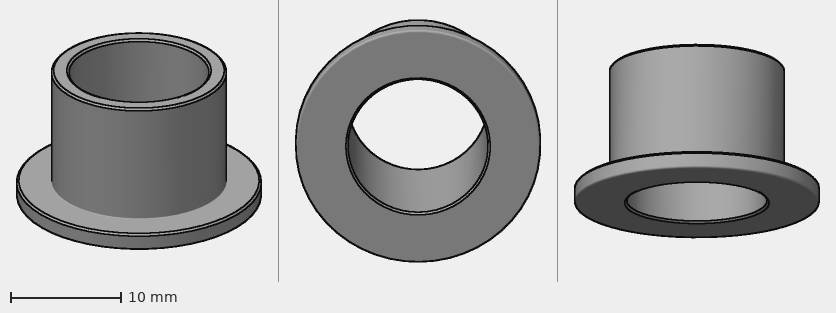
import cadquery as cq

flange_diameter = 22.23
body_diameter = 15.9
bore_diameter = 12.72
total_height = 12.7
flange_thickness = 1.58
edge_break = 0.2
root_radius = 0.1

flange_radius = flange_diameter / 2
body_radius = body_diameter / 2
bore_radius = bore_diameter / 2


def sleeve_profile():
    """Half section of the flanged sleeve, with radius along X and height along Y."""
    arc_inset = 1 - 0.5**0.5
    root_inset = root_radius * arc_inset
    rim_inset = edge_break * arc_inset
    return (
        cq.Workplane("XZ")
        .moveTo(bore_radius + edge_break, 0)
        .lineTo(flange_radius - edge_break, 0)
        .threePointArc((flange_radius - rim_inset, rim_inset), (flange_radius, edge_break))
        .lineTo(flange_radius, flange_thickness - edge_break)
        .lineTo(flange_radius - edge_break, flange_thickness)
        .lineTo(body_radius + root_radius, flange_thickness)
        .threePointArc(
            (body_radius + root_inset, flange_thickness + root_inset),
            (body_radius, flange_thickness + root_radius),
        )
        .lineTo(body_radius, total_height - edge_break)
        .lineTo(body_radius - edge_break, total_height)
        .lineTo(bore_radius + edge_break, total_height)
        .lineTo(bore_radius, total_height - edge_break)
        .lineTo(bore_radius, edge_break)
        .close()
    )


result = sleeve_profile().revolve(360, (0, 0, 0), (0, 1, 0))